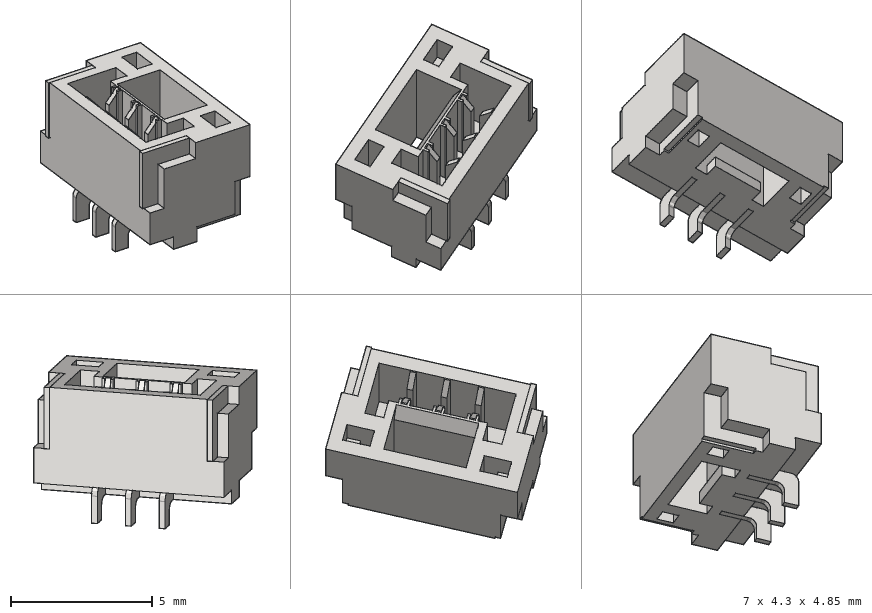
import cadquery as cq
import math

LENGTH = 7.0
DEPTH = 4.25
HEIGHT = 4.05
WALL = 0.5
HALF_LENGTH = LENGTH / 2

CAVITY_WIDTH = 5.0
CAVITY_DEPTH = 2.045
CAVITY_FLOOR = 1.0
BLADE_WIDTH = 3.61
BLADE_FACE_Y = 1.85

WINDOW_WIDTH = 3.0
WINDOW_FRONT_TOP_Y = 1.94
WINDOW_FRONT_LEAN = 0.32
WINDOW_LEAN_ANGLE = 60.0
WINDOW_LEAN_HEIGHT = WINDOW_FRONT_LEAN * math.tan(math.radians(WINDOW_LEAN_ANGLE))
WINDOW_BACK_Y = DEPTH - WALL
CATCH_WIDTH = 1.995
CATCH_DEPTH = 0.5
CATCH_HEIGHT = 0.5

POCKET_WIDTH = 1.0
POCKET_DEPTH = 0.62
POCKET_FLOOR = 3.0
POCKET_OUTER_X = HALF_LENGTH - WALL

L_ARM = 0.65
L_STEP = 0.6
L_LONG = 2.255
L_SHORT = 1.94
CLIP_INSET = 0.4
CLIP_THICKNESS = 0.195
CLIP_PROUD = 0.05
CLIP_RECESS_DEPTH = CLIP_INSET + CLIP_THICKNESS
BACK_RECESS_DEPTH = 0.615
GROOVE_LENGTH = 1.99
GROOVE_HEIGHT = 0.1
GROOVE_DEPTH = 0.2

STEP_DEPTH = 1.0
STEP_HEIGHT = 0.505

PIN_COUNT = 3
PIN_PITCH = 1.245
PIN_WIDTH = 0.22
PIN_XS = [(i - (PIN_COUNT - 1) / 2) * PIN_PITCH for i in range(PIN_COUNT)]
PRONG_DEPTH = 0.505
PRONG_TIP = 0.05
PRONG_BEVEL_HEIGHT = 0.51
PRONG_TOP = HEIGHT
TAIL_DEPTH = 0.55
TAIL_FRONT_Y = -CLIP_PROUD
TAIL_BOTTOM = -0.8
BEND_RADIUS = 0.3
RIB_WIDTH = 0.405
RIB_DEPTH = 0.195


def box(x0, x1, y0, y1, z0, z1):
    """Box between two opposite corners."""
    return cq.Workplane("XY").box(x1 - x0, y1 - y0, z1 - z0, centered=False).translate((x0, y0, z0))


def centred_box(x, width, y0, y1, z0, z1):
    """Box whose width is centred on x."""
    return box(x - width / 2, x + width / 2, y0, y1, z0, z1)


def extrude_yz(outline, x0, x1):
    """Prism of a closed (y, z) outline between two X positions."""
    return cq.Workplane("YZ").polyline(outline).close().extrude(x1 - x0).translate((x0, 0, 0))


def on_both_ends(body):
    """The body at the +X end and its mirror image at the -X end."""
    return [body, body.mirror("YZ")]


def clip_outline(front_y):
    """L along the top edge and down the front edge of an end face."""
    bottom = HEIGHT - L_LONG
    return [
        (front_y, HEIGHT),
        (L_SHORT, HEIGHT),
        (L_SHORT, HEIGHT - L_ARM),
        (L_STEP, HEIGHT - L_ARM),
        (L_STEP, bottom),
        (front_y, bottom),
    ]


def make_clip():
    """Flat L-shaped solder clip at the +X end, slightly proud of the front face."""
    outer_x = HALF_LENGTH - CLIP_INSET
    return extrude_yz(clip_outline(-CLIP_PROUD), outer_x - CLIP_THICKNESS, outer_x)


def make_pin(x):
    """Pin with a two-prong fork in the cavity and a tail bent down at the front."""
    fork_front = WALL
    fork_back = BLADE_FACE_Y
    bevel_bottom = PRONG_TOP - PRONG_BEVEL_HEIGHT
    tail_back_y = TAIL_FRONT_Y + TAIL_DEPTH
    return (
        cq.Workplane("YZ")
        .moveTo(TAIL_FRONT_Y, TAIL_BOTTOM)
        .lineTo(TAIL_FRONT_Y, STEP_HEIGHT - BEND_RADIUS)
        .radiusArc((TAIL_FRONT_Y + BEND_RADIUS, STEP_HEIGHT), BEND_RADIUS)
        .lineTo(fork_front, STEP_HEIGHT)
        .lineTo(fork_front, PRONG_TOP)
        .lineTo(fork_front + PRONG_TIP, PRONG_TOP)
        .lineTo(fork_front + PRONG_DEPTH, bevel_bottom)
        .lineTo(fork_front + PRONG_DEPTH, CAVITY_FLOOR)
        .lineTo(fork_back - PRONG_DEPTH, CAVITY_FLOOR)
        .lineTo(fork_back - PRONG_DEPTH, bevel_bottom)
        .lineTo(fork_back - PRONG_TIP, PRONG_TOP)
        .lineTo(fork_back, PRONG_TOP)
        .lineTo(fork_back, 0)
        .lineTo(tail_back_y + BEND_RADIUS, 0)
        .radiusArc((tail_back_y, -BEND_RADIUS), -BEND_RADIUS)
        .lineTo(tail_back_y, TAIL_BOTTOM)
        .close()
        .extrude(PIN_WIDTH / 2, both=True)
        .translate((x, 0, 0))
    )


def make_cavity():
    """U-shaped mating cavity, with a slotted rib left standing around each pin."""
    cavity = centred_box(0, CAVITY_WIDTH, WALL, WALL + CAVITY_DEPTH, CAVITY_FLOOR, HEIGHT)
    cavity = cavity.cut(
        centred_box(0, BLADE_WIDTH, BLADE_FACE_Y, WALL + CAVITY_DEPTH, CAVITY_FLOOR, HEIGHT)
    )
    rib_front_y = BLADE_FACE_Y - RIB_DEPTH
    for x in PIN_XS:
        rib = centred_box(x, RIB_WIDTH, rib_front_y, BLADE_FACE_Y, CAVITY_FLOOR, HEIGHT)
        slot = centred_box(x, PIN_WIDTH, rib_front_y, BLADE_FACE_Y, CAVITY_FLOOR, HEIGHT)
        cavity = cavity.cut(rib.cut(slot))
    return cavity


def make_window():
    """Through window whose front side leans back below its top edge, less the catch at its foot."""
    front_bottom_y = WINDOW_FRONT_TOP_Y + WINDOW_FRONT_LEAN
    outline = [
        (WINDOW_FRONT_TOP_Y, HEIGHT),
        (WINDOW_BACK_Y, HEIGHT),
        (WINDOW_BACK_Y, 0),
        (front_bottom_y, 0),
        (front_bottom_y, HEIGHT - WINDOW_LEAN_HEIGHT),
    ]
    window = extrude_yz(outline, -WINDOW_WIDTH / 2, WINDOW_WIDTH / 2)
    return window.cut(
        centred_box(0, CATCH_WIDTH, WINDOW_FRONT_TOP_Y, front_bottom_y + CATCH_DEPTH, 0, CATCH_HEIGHT)
    )


def make_pocket():
    """Corner pocket at the +X end with its stepped floor."""
    front_y = WINDOW_BACK_Y - POCKET_DEPTH
    inner_x = POCKET_OUTER_X - POCKET_WIDTH
    middle_x = POCKET_OUTER_X - POCKET_WIDTH / 2
    shallow = box(inner_x, POCKET_OUTER_X, front_y, WINDOW_BACK_Y, POCKET_FLOOR, HEIGHT)
    through = box(inner_x, middle_x, front_y, WINDOW_BACK_Y, 0, HEIGHT)
    return shallow.union(through)


def make_end_recesses():
    """Clip recess, lower back recess and its bottom groove at the +X end."""
    clip_recess = extrude_yz(clip_outline(0), HALF_LENGTH - CLIP_RECESS_DEPTH, HALF_LENGTH)
    recess_x = HALF_LENGTH - BACK_RECESS_DEPTH
    back_outline = [
        (DEPTH, 0),
        (DEPTH - L_LONG, 0),
        (DEPTH - L_LONG, L_STEP),
        (DEPTH - L_ARM, L_STEP),
        (DEPTH - L_ARM, L_SHORT),
        (DEPTH, L_SHORT),
    ]
    back_recess = extrude_yz(back_outline, recess_x, HALF_LENGTH)
    groove = box(recess_x - GROOVE_DEPTH, recess_x, DEPTH - GROOVE_LENGTH, DEPTH, 0, GROOVE_HEIGHT)
    return clip_recess.union(back_recess).union(groove)


def make_housing(pins):
    """Housing block with every opening, slotted to fit the pins."""
    housing = centred_box(0, LENGTH, 0, DEPTH, 0, HEIGHT)
    housing = housing.cut(centred_box(0, LENGTH, 0, STEP_DEPTH, 0, STEP_HEIGHT))
    housing = housing.cut(make_cavity()).cut(make_window())
    for opening in on_both_ends(make_pocket()) + on_both_ends(make_end_recesses()):
        housing = housing.cut(opening)
    for pin in pins:
        housing = housing.cut(pin)
    return housing


pins = [make_pin(x) for x in PIN_XS]
clips = on_both_ends(make_clip())
housing = make_housing(pins)

result = cq.Compound.makeCompound(
    [housing.val(), *[clip.val() for clip in clips], *[pin.val() for pin in pins]]
)